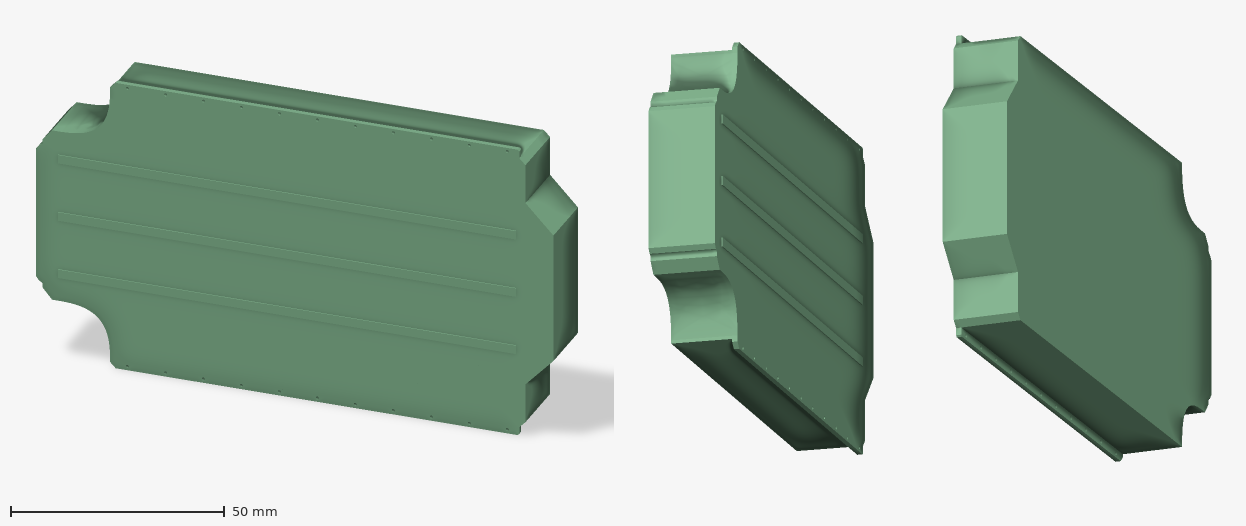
import cadquery as cq

length = 129.5
height = 74.2
thickness = 16.5
bar_thickness = 0.3
body_thickness = thickness - bar_thickness

left = -length / 2
right = length / 2
flange_top = height / 2

body_top = 35.0
left_end_half_height = 16.6
shoulder_height = 22.0
shoulder_start = left + 4.0
scallop_size = 12.2
scallop_start = left + 6.3
scallop_end = scallop_start + scallop_size
scallop_corner_gap = 2.8

relief_radius = 0.8
relief_bottom = 17.7
relief_start = left + 0.9
relief_wall = relief_start + relief_radius
relief_top = 19.3

right_end_half_height = 16.3
right_chamfer_length = 7.0
right_chamfer_height = 7.3
right_shoulder = right - right_chamfer_length
top_corner_chamfer = 1.5

flange_thickness = 1.3
flange_left = scallop_end
flange_right = 56.2
flange_left_chamfer = 1.4
flange_right_chamfer = 0.4
flange_root = 33.7

hole_count = 11
hole_row_length = 95.0
hole_pitch = hole_row_length / (hole_count - 1)
hole_diameter = 0.8
hole_center_x = 5.7
hole_height = 36.1

bar_count = 3
bar_pitch = 14.9
bar_height = 2.2
bar_left = -59.2
bar_right = 55.4


def half_profile(mirror_sign):
    """Half of the body outline, closed along the X axis."""
    diagonal = relief_radius * 2 ** -0.5

    def point(x, z):
        return (x, mirror_sign * z)

    scallop_top = shoulder_height + scallop_size
    relief_center_height = relief_bottom + relief_radius
    return (
        cq.Workplane("XZ")
        .moveTo(left, 0)
        .lineTo(*point(left, left_end_half_height))
        .lineTo(*point(relief_start, relief_bottom))
        .threePointArc(
            point(relief_start + diagonal, relief_center_height - diagonal),
            point(relief_wall, relief_center_height),
        )
        .lineTo(*point(relief_wall, relief_top))
        .lineTo(*point(shoulder_start, shoulder_height))
        .lineTo(*point(scallop_start, shoulder_height))
        .spline(
            [
                point(scallop_end - scallop_corner_gap, shoulder_height + scallop_corner_gap),
                point(scallop_end, scallop_top),
            ],
            tangents=[(1, 0), (0, mirror_sign)],
            includeCurrent=True,
        )
        .lineTo(*point(scallop_end, body_top))
        .lineTo(*point(right_shoulder - top_corner_chamfer, body_top))
        .lineTo(*point(right_shoulder, body_top - top_corner_chamfer))
        .lineTo(*point(right_shoulder, right_end_half_height + right_chamfer_height))
        .lineTo(*point(right, right_end_half_height))
        .lineTo(right, 0)
        .close()
    )


def flange(mirror_sign):
    """Thin strip standing out past the body, with a row of holes."""
    outline = [
        (flange_left, flange_root),
        (flange_left, flange_top - flange_left_chamfer),
        (flange_left + flange_left_chamfer, flange_top),
        (flange_right - flange_right_chamfer, flange_top),
        (flange_right, flange_top - flange_right_chamfer),
        (flange_right, flange_root),
    ]
    strip = (
        cq.Workplane("XZ")
        .polyline([(x, mirror_sign * z) for x, z in outline])
        .close()
        .extrude(-flange_thickness)
    )
    holes = (
        cq.Workplane("XZ")
        .center(hole_center_x, mirror_sign * hole_height)
        .rarray(hole_pitch, 1.3, hole_count, 1)
        .circle(hole_diameter / 2)
        .extrude(-flange_thickness)
    )
    return strip.cut(holes)


def front_bars():
    """Evenly spaced bars raised from the front face at Y = 0."""
    return (
        cq.Workplane("XZ")
        .center((bar_left + bar_right) / 2, 0)
        .rarray(1.3, bar_pitch, 1, bar_count)
        .rect(bar_right - bar_left, bar_height)
        .extrude(bar_thickness)
    )


result = front_bars()
for side in (1, -1):
    result = result.union(half_profile(side).extrude(-body_thickness))
    result = result.union(flange(side))
result = result.clean()